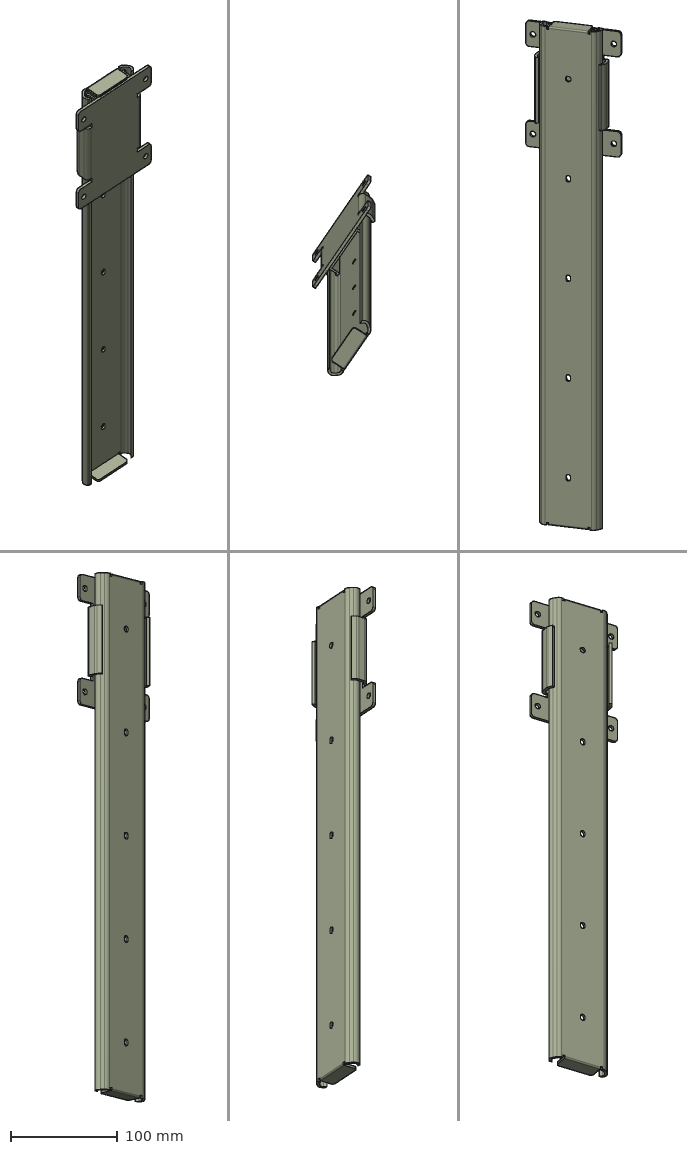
import cadquery as cq
import math

RAIL_LENGTH = 500.0
RAIL_WIDTH = 62.0
RAIL_DEPTH = 13.0
RAIL_SHEET = 2.5
RACE_RADIUS = 5.5
RACE_BEND = 50.0
RACE_FLAT = 4.0
LIP_TILT = 40.0

TAB_WIDTH = 39.0
TAB_REACH = 16.0
TAB_BEND = 1.5
TAB_CORNER = 3.0
RELIEF_WIDTH = 2.0
RELIEF_HEIGHT = 2.5

HOLE_PITCH = 100.0
LOWEST_SLOT = 50.0
SLOT_COUNT = 4
SLOT_HEIGHTS = [LOWEST_SLOT + HOLE_PITCH * i for i in range(SLOT_COUNT)]
SLOT_WIDTH = 4.5
SLOT_LENGTH = 6.5
ROUND_HOLE_HEIGHT = SLOT_HEIGHTS[-1] + HOLE_PITCH
ROUND_HOLE_DIAMETER = 5.5

CARRIAGE_BACK = 18.0
CARRIAGE_SHEET = 3.0
CARRIAGE_TOP = RAIL_LENGTH - RAIL_SHEET
CARRIAGE_MIDDLE = 434.5
CARRIAGE_LENGTH = 2 * (CARRIAGE_TOP - CARRIAGE_MIDDLE)
BASE_WIDTH = 59.0
WRAP_WIDTH = 71.0
WRAP_LENGTH = 66.0
WRAP_RADIUS = 4.5
FLAP_TILT = 30.0
FLAP_START = 7.0
FLAP_TIP = 0.5

EAR_SPAN = 94.0
EAR_HEIGHT = 25.5
EAR_CORNER = 3.5
EAR_HOLE_DIAMETER = 5.5
EAR_HOLE_SPACING_Y = 80.0
EAR_HOLE_SPACING_Z = 100.0

GUIDE_SHEET = 2.0
GUIDE_WIDTH = 47.0
GUIDE_FRONT = 4.5
GUIDE_HOOK = 1.5

CARRIAGE_FRONT = CARRIAGE_BACK - CARRIAGE_SHEET


def polar(center, radius, degrees):
    """Point on a circle in the XY plane, as (x, y), with the angle taken from +Y toward -X."""
    angle = math.radians(degrees)
    return (center[0] - radius * math.sin(angle), center[1] + radius * math.cos(angle))


def box(x_range, width, z_range):
    """Block centred on Y = 0."""
    size_x = x_range[1] - x_range[0]
    size_z = z_range[1] - z_range[0]
    block = cq.Workplane("XY").box(size_x, width, size_z, centered=(False, True, False))
    return block.translate((x_range[0], 0, z_range[0]))


def rail_half():
    """The +Y half of the channel: web, bend, sloping flat, ball race and lip."""
    bend = math.radians(RACE_BEND)
    tip_center_y = RAIL_WIDTH / 2 - RACE_RADIUS
    web_center = (RACE_RADIUS, tip_center_y - RACE_FLAT * math.cos(bend))
    race_center = (RACE_RADIUS + RACE_FLAT * math.sin(bend), tip_center_y)
    inner_radius = RACE_RADIUS - RAIL_SHEET
    flat = 90 - RACE_BEND
    lip = -LIP_TILT
    lip_outer = polar(race_center, RACE_RADIUS, lip)
    lip_inner = polar(race_center, inner_radius, lip)
    lip_slope = math.tan(math.radians(LIP_TILT))
    web_mid = (90 + flat) / 2
    race_mid = (flat + lip) / 2
    return (
        cq.Workplane("XY")
        .moveTo(0, 0)
        .lineTo(*polar(web_center, RACE_RADIUS, 90))
        .threePointArc(polar(web_center, RACE_RADIUS, web_mid), polar(web_center, RACE_RADIUS, flat))
        .lineTo(*polar(race_center, RACE_RADIUS, flat))
        .threePointArc(polar(race_center, RACE_RADIUS, race_mid), lip_outer)
        .lineTo(RAIL_DEPTH, lip_outer[1] - (RAIL_DEPTH - lip_outer[0]) * lip_slope)
        .lineTo(RAIL_DEPTH, lip_inner[1] - (RAIL_DEPTH - lip_inner[0]) * lip_slope)
        .lineTo(*lip_inner)
        .threePointArc(polar(race_center, inner_radius, race_mid), polar(race_center, inner_radius, flat))
        .lineTo(*polar(web_center, inner_radius, flat))
        .threePointArc(polar(web_center, inner_radius, web_mid), polar(web_center, inner_radius, 90))
        .lineTo(RAIL_SHEET, 0)
        .close()
        .extrude(RAIL_LENGTH)
    )


def bottom_tab():
    """End tab at Z = 0, with rounded free corners."""
    tab = box((0, TAB_REACH), TAB_WIDTH, (0, RAIL_SHEET))
    return tab.edges("|Z and >X").fillet(TAB_CORNER)


def mirrored_in_y(half):
    """Joins a feature on the +Y side with its mirror image on the -Y side."""
    return half.union(half.mirror("XZ"))


def rail_end_reliefs():
    """Notches beside the bottom tab."""
    center_y = (TAB_WIDTH + RELIEF_WIDTH) / 2
    notch = box((0, RAIL_SHEET), RELIEF_WIDTH, (0, RELIEF_HEIGHT)).translate((0, center_y, 0))
    return mirrored_in_y(notch)


def at_both_ends(shape):
    """Repeats a bottom-end feature at the top end of the rail."""
    top = shape.mirror("XY").translate((0, 0, RAIL_LENGTH))
    return shape.union(top)


def rail_holes():
    slots = (
        cq.Workplane("YZ")
        .pushPoints([(0, z) for z in SLOT_HEIGHTS])
        .slot2D(SLOT_LENGTH, SLOT_WIDTH, 90)
        .extrude(RAIL_SHEET)
    )
    round_hole = (
        cq.Workplane("YZ")
        .center(0, ROUND_HOLE_HEIGHT)
        .circle(ROUND_HOLE_DIAMETER / 2)
        .extrude(RAIL_SHEET)
    )
    return slots.union(round_hole)


def tab_bend_waste():
    """Material outside the rounded bend between the web and the bottom tab."""
    corner = box((0, TAB_BEND), TAB_WIDTH, (0, TAB_BEND))
    bend = (
        cq.Workplane("XZ")
        .center(TAB_BEND, TAB_BEND)
        .circle(TAB_BEND)
        .extrude(TAB_WIDTH / 2, both=True)
    )
    return corner.cut(bend)


def make_rail():
    channel = mirrored_in_y(rail_half()).union(at_both_ends(bottom_tab()))
    end_cuts = at_both_ends(rail_end_reliefs().union(tab_bend_waste()))
    return channel.cut(end_cuts).cut(rail_holes())


def carriage_wrap():
    """The +Y half of the wrap: rear wall, bend, side wall and leaning flap."""
    inner_radius = WRAP_RADIUS - CARRIAGE_SHEET
    bend_y = WRAP_WIDTH / 2 - WRAP_RADIUS
    rear_center = (CARRIAGE_BACK - WRAP_RADIUS, bend_y)
    flap_center = (FLAP_START, bend_y)
    flap_bend = polar(flap_center, WRAP_RADIUS, FLAP_TILT)
    tilt = math.radians(FLAP_TILT)
    tip = (FLAP_TIP, flap_bend[1] - (flap_bend[0] - FLAP_TIP) * math.tan(tilt))
    tip_inner = (
        tip[0] + CARRIAGE_SHEET * math.sin(tilt),
        tip[1] - CARRIAGE_SHEET * math.cos(tilt),
    )
    return (
        cq.Workplane("XY")
        .moveTo(CARRIAGE_BACK, 0)
        .lineTo(*polar(rear_center, WRAP_RADIUS, -90))
        .threePointArc(polar(rear_center, WRAP_RADIUS, -45), polar(rear_center, WRAP_RADIUS, 0))
        .lineTo(*polar(flap_center, WRAP_RADIUS, 0))
        .threePointArc(polar(flap_center, WRAP_RADIUS, FLAP_TILT / 2), flap_bend)
        .lineTo(*tip)
        .lineTo(*tip_inner)
        .lineTo(*polar(flap_center, inner_radius, FLAP_TILT))
        .threePointArc(polar(flap_center, inner_radius, FLAP_TILT / 2), polar(flap_center, inner_radius, 0))
        .lineTo(*polar(rear_center, inner_radius, 0))
        .threePointArc(polar(rear_center, inner_radius, -45), polar(rear_center, inner_radius, -90))
        .lineTo(CARRIAGE_FRONT, 0)
        .close()
        .extrude(WRAP_LENGTH)
        .translate((0, 0, CARRIAGE_MIDDLE - WRAP_LENGTH / 2))
    )


def carriage_base():
    bottom = CARRIAGE_TOP - CARRIAGE_LENGTH
    return box((CARRIAGE_FRONT, CARRIAGE_BACK), BASE_WIDTH, (bottom, CARRIAGE_TOP))


def carriage_ears():
    """Strips across the top and bottom of the base; their ends are the four ears."""
    offset = (CARRIAGE_LENGTH - EAR_HEIGHT) / 2
    strips = (
        cq.Workplane("YZ", origin=(CARRIAGE_FRONT, 0, CARRIAGE_MIDDLE))
        .pushPoints([(0, -offset), (0, offset)])
        .rect(EAR_SPAN, EAR_HEIGHT)
        .extrude(CARRIAGE_SHEET)
    )
    return strips.edges("|X").fillet(EAR_CORNER)


def ear_holes():
    return (
        cq.Workplane("YZ", origin=(CARRIAGE_FRONT, 0, CARRIAGE_MIDDLE))
        .rect(EAR_HOLE_SPACING_Y, EAR_HOLE_SPACING_Z, forConstruction=True)
        .vertices()
        .circle(EAR_HOLE_DIAMETER / 2)
        .extrude(CARRIAGE_SHEET)
    )


def make_carriage():
    wraps = mirrored_in_y(carriage_wrap())
    return carriage_base().union(carriage_ears()).union(wraps).cut(ear_holes())


def make_ball_guide():
    """Channel as tall as the carriage, its web against the carriage and its edges hooked outward."""
    z_range = (CARRIAGE_TOP - CARRIAGE_LENGTH, CARRIAGE_TOP)
    outer = box((GUIDE_FRONT, CARRIAGE_FRONT), GUIDE_WIDTH, z_range)
    hooks = box((GUIDE_FRONT, GUIDE_FRONT + GUIDE_SHEET), GUIDE_WIDTH + 2 * GUIDE_HOOK, z_range)
    hollow = box((GUIDE_FRONT, CARRIAGE_FRONT - GUIDE_SHEET), GUIDE_WIDTH - 2 * GUIDE_SHEET, z_range)
    return outer.union(hooks).cut(hollow)


rail = make_rail()
carriage = make_carriage()
ball_guide = make_ball_guide()

result = cq.Compound.makeCompound([rail.val(), carriage.val(), ball_guide.val()])